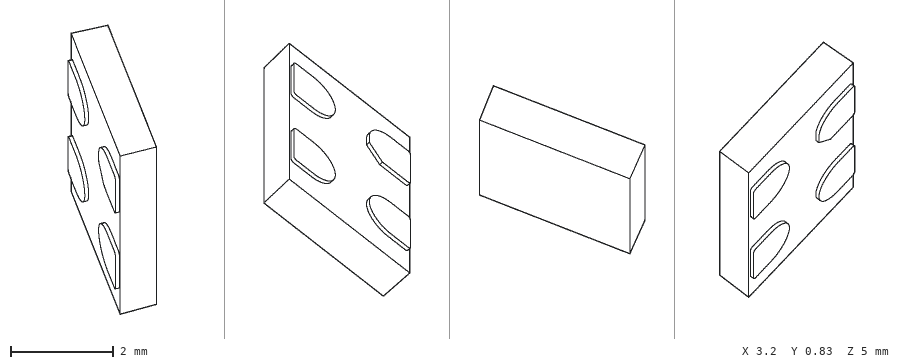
import cadquery as cq

body_width = 3.2
body_height = 5.0
body_depth = 0.75
body_draft = 1.0

pad_thickness = 0.08
pad_length = 1.1
pad_height = 1.15
pad_corner_radius = 0.075
pad_edge_gap = 0.05
pad_pitch = 2.4
marker_chamfer = 0.35

pad_outer_x = body_width / 2 - pad_edge_gap
pad_inner_x = pad_outer_x - pad_length
pad_radius = pad_height / 2
pad_arc_x = pad_inner_x + pad_radius


def make_body():
    """Rectangular block with drafted walls, extruded toward +Y."""
    front = cq.Workplane("XZ").rect(body_width, body_height)
    return front.extrude(-body_depth, taper=body_draft)


def make_pad(center_z, marked=False):
    """Right-hand pad: rounded outer corners and a semicircular inner end."""
    bottom = center_z - pad_radius
    top = center_z + pad_radius
    outline = cq.Workplane("XZ").moveTo(pad_outer_x, bottom)
    outline = outline.lineTo(pad_outer_x, top).lineTo(pad_arc_x, top)
    if marked:
        outline = (
            outline.radiusArc((pad_inner_x, center_z), -pad_radius)
            .lineTo(pad_inner_x, bottom + marker_chamfer)
            .lineTo(pad_inner_x + marker_chamfer, bottom)
        )
    else:
        outline = outline.threePointArc((pad_inner_x, center_z), (pad_arc_x, bottom))
    pad = outline.close().extrude(pad_thickness)
    return pad.edges("|Y and >X").fillet(pad_corner_radius)


result = make_body()
for center_z in (-pad_pitch / 2, pad_pitch / 2):
    left_pad = make_pad(center_z).mirror("YZ")
    right_pad = make_pad(center_z, marked=center_z > 0)
    result = result.union(left_pad).union(right_pad)